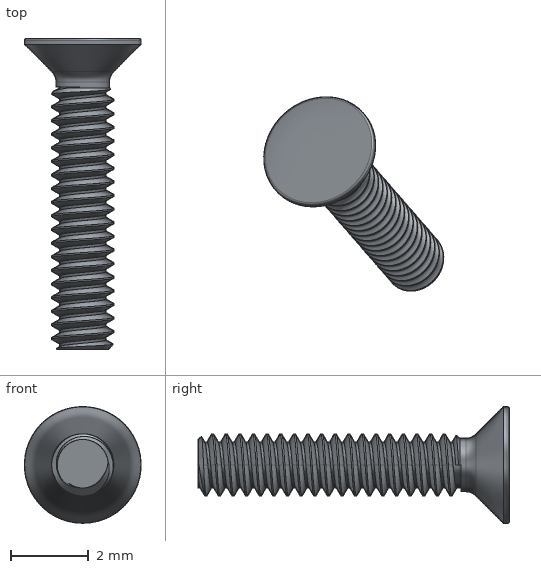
import cadquery as cq
import math

total_length = 8.0
head_diameter = 3.0

rim_height = 0.15
rim_edge_radius = 0.06
fillet_turn = math.radians(45)
neck_radius = 0.69
neck_fillet_radius = 0.37
neck_end_depth = 1.25

major_radius = 0.8
root_radius = 0.59
crest_width = 0.04
flank_angle = math.radians(30)
turns_per_span = 16
span_of_turns = 5.6
pitch = span_of_turns / turns_per_span
crest_above_tip = 0.11
root_overlap = 0.02
crest_clearance = 0.08

tip_radius = 0.66
tip_cone_length = 0.16
runout_start_depth = 1.27
runout_length = 0.15

head_radius = head_diameter / 2
neck_end = total_length - neck_end_depth
runout_start = total_length - runout_start_depth


def head_and_neck():
    """Revolved head: rounded rim, cone, tangent fillet and short neck."""
    rim_bottom = total_length - rim_height
    diagonal = math.sin(fillet_turn)
    fillet_center_radius = neck_radius + neck_fillet_radius
    cone_end_radius = fillet_center_radius - neck_fillet_radius * diagonal
    cone_end = rim_bottom - (head_radius - cone_end_radius)
    fillet_end = cone_end - neck_fillet_radius * diagonal
    fillet_middle_angle = fillet_turn / 2
    fillet_middle = (
        fillet_center_radius - neck_fillet_radius * math.cos(fillet_middle_angle),
        fillet_end + neck_fillet_radius * math.sin(fillet_middle_angle),
    )
    half_section = (
        cq.Workplane("YZ")
        .moveTo(0, neck_end)
        .lineTo(neck_radius, neck_end)
        .lineTo(neck_radius, fillet_end)
        .threePointArc(fillet_middle, (cone_end_radius, cone_end))
        .lineTo(head_radius, rim_bottom)
        .lineTo(head_radius, total_length)
        .lineTo(0, total_length)
        .close()
    )
    head = half_section.revolve(360, (0, 0), (0, 1))
    return head.faces(">Z").edges().fillet(rim_edge_radius)


def revolved(points):
    """Solid of revolution about Z from (radius, height) points; its seam lies on +Y."""
    return cq.Workplane("YZ").polyline(points).close().revolve(360, (0, 0), (0, 1))


def thread_envelope():
    """Outer limit of the thread: coned at both ends and clear of the crests between."""
    clear_radius = major_radius + crest_clearance
    tip_slope = tip_cone_length / (major_radius - tip_radius)
    runout_slope = runout_length / (major_radius - neck_radius)
    tip_cone_end = (clear_radius - tip_radius) * tip_slope
    runout_end = runout_start - (clear_radius - neck_radius) * runout_slope
    return revolved([
        (0, 0),
        (tip_radius, 0),
        (clear_radius, tip_cone_end),
        (clear_radius, runout_end),
        (neck_radius, runout_start),
        (neck_radius, neck_end),
        (0, neck_end),
    ])


def ridge_turn():
    """One right-hand turn of the ridge, starting on +X at Z = 0."""
    base_radius = root_radius - root_overlap
    half_crest = crest_width / 2
    half_base = half_crest + (major_radius - base_radius) * math.tan(flank_angle)
    path = cq.Wire.makeHelix(pitch, pitch, base_radius)
    profile = (
        cq.Workplane("XZ")
        .polyline([
            (base_radius, -half_base),
            (major_radius, -half_crest),
            (major_radius, half_crest),
            (base_radius, half_base),
        ])
        .close()
    )
    return profile.sweep(cq.Workplane(obj=path), isFrenet=True)


def threaded_shank():
    """Root cylinder joined to enough ridge turns to run past both ends, trimmed to the envelope."""
    root_cylinder = revolved([(0, 0), (root_radius, 0), (root_radius, neck_end), (0, neck_end)])
    envelope = thread_envelope()
    turn = ridge_turn()
    first_turn = crest_above_tip - pitch
    turn_count = math.ceil((neck_end - first_turn) / pitch)
    ridges = []
    for index in range(turn_count):
        placed_turn = turn.translate((0, 0, first_turn + index * pitch))
        ridges += placed_turn.intersect(envelope).solids().vals()
    return root_cylinder.newObject([root_cylinder.val().fuse(*ridges)])


screw = threaded_shank().union(head_and_neck())

result = screw.rotate((0, 0, 0), (1, 0, 0), -90)